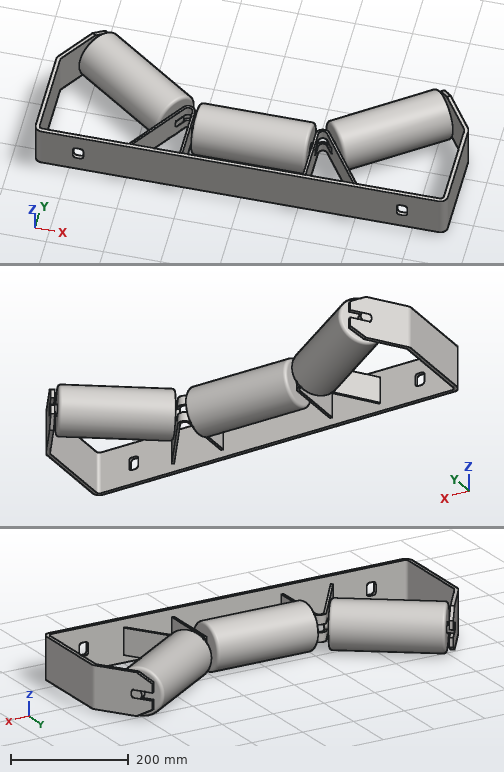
import cadquery as cq
import math


frame_length = 720.0
strip_width = 80.0
frame_thickness = 7.0
frame_bend_radius = 13.0

wing_tip_reach = 29.5
tip_chamfer_length = 29.0
tip_chamfer_depth = 16.0

mount_hole_x = 283.0
mount_hole_width = 18.0
mount_hole_height = 24.5
mount_hole_corner = 6.0

tilt = 35.0
roller_diameter = 89.0
roller_length = 200.0
roller_fillet = 6.0
centre_roller_y = 101.0
side_roller_x = 221.0
side_roller_y = 172.0

plate_gap = 5.4
round_stub_length = 3.0
shaft_diameter = 20.0
shaft_flat_width = 14.5

bracket_width = 50.0
bracket_thickness = 4.0
bracket_bend_radius = 12.0

tilt_angle = math.radians(tilt)
outward = cq.Vector(math.cos(tilt_angle), math.sin(tilt_angle), 0)
along_wing = cq.Vector(-math.sin(tilt_angle), math.cos(tilt_angle), 0)
side_roller_middle = cq.Vector(side_roller_x, side_roller_y, 0)
centre_roller_middle = cq.Vector(0, centre_roller_y, 0)
plate_offset = roller_length / 2 + plate_gap

cut_reach = 2 * frame_thickness
slot_reach = 36.0


def mirrored(body):
    return body.mirror("YZ")


def shaft_slot(axis_point, axis, open_direction):
    """Cutter for an open slot whose closed end fits the flattened shaft."""
    half_width = shaft_flat_width / 2
    radius = shaft_diameter / 2
    arc_end = math.sqrt(radius**2 - half_width**2)
    plane = cq.Plane(
        origin=axis_point.toTuple(), xDir=open_direction.toTuple(), normal=axis.toTuple()
    )
    return (
        cq.Workplane(plane)
        .moveTo(slot_reach, -half_width)
        .lineTo(-arc_end, -half_width)
        .threePointArc((-radius, 0), (-arc_end, half_width))
        .lineTo(slot_reach, half_width)
        .close()
        .extrude(cut_reach, both=True)
    )



wing_face = side_roller_middle + outward * (plate_offset + frame_thickness)
wing_tip = wing_face + along_wing * wing_tip_reach


def bent_strip():
    outer_x = frame_length / 2
    outer_y = wing_face.y - (outer_x - wing_face.x) / math.tan(tilt_angle)
    inner_x = outer_x - frame_thickness
    inner_y = outer_y - frame_thickness * math.tan(tilt_angle / 2)
    inner_tip = wing_tip - outward * frame_thickness

    right_half = [
        (outer_x, 0),
        (outer_x, outer_y),
        (wing_tip.x, wing_tip.y),
        (inner_tip.x, inner_tip.y),
        (inner_x, inner_y),
        (inner_x, frame_thickness),
    ]
    left_half = [(-x, y) for x, y in reversed(right_half)]
    strip = (
        cq.Workplane("XY", origin=(0, 0, -strip_width / 2))
        .polyline(right_half + left_half)
        .close()
        .extrude(strip_width)
    )

    inner_radius = frame_bend_radius - frame_thickness
    bends = [
        (outer_x, 0, frame_bend_radius),
        (outer_x, outer_y, frame_bend_radius),
        (inner_x, frame_thickness, inner_radius),
        (inner_x, inner_y, inner_radius),
    ]
    for x, y, radius in bends:
        for side in (1, -1):
            corner = cq.selectors.NearestToPointSelector((side * x, y, 0))
            strip = strip.edges("|Z").edges(corner).fillet(radius)
    return strip


def tip_chamfer(side):
    """Wedge that cuts the upper (side = 1) or lower (side = -1) corner of a wing tip."""
    edge = side * strip_width / 2
    plane = cq.Plane(
        origin=wing_tip.toTuple(), xDir=along_wing.toTuple(), normal=outward.toTuple()
    )
    return (
        cq.Workplane(plane)
        .polyline([(0, edge), (-tip_chamfer_length, edge), (0, edge - side * tip_chamfer_depth)])
        .close()
        .extrude(cut_reach, both=True)
    )


def mount_holes():
    return (
        cq.Workplane("XZ")
        .pushPoints([(mount_hole_x, 0), (-mount_hole_x, 0)])
        .rect(mount_hole_width, mount_hole_height)
        .extrude(cut_reach, both=True)
        .edges("|Y")
        .fillet(mount_hole_corner)
    )


def make_frame():
    frame = bent_strip().cut(mount_holes())
    wing_cutters = [tip_chamfer(1), tip_chamfer(-1), shaft_slot(wing_face, outward, along_wing)]
    for cutter in wing_cutters:
        frame = frame.cut(cutter).cut(mirrored(cutter))
    return frame




def make_bracket():
    """Right-hand bracket, standing on the back of the frame."""
    inner_radius = bracket_bend_radius - bracket_thickness
    upright_inner_x = plate_offset + bracket_thickness
    tilted_face = side_roller_middle - outward * plate_offset

    bend_x = plate_offset + bracket_bend_radius
    bend_y = (tilted_face.dot(outward) - bracket_bend_radius - bend_x * outward.x) / outward.y
    bend = cq.Vector(bend_x, bend_y, 0)
    middle_angle = (tilt_angle + math.pi) / 2
    to_middle = cq.Vector(math.cos(middle_angle), math.sin(middle_angle), 0)
    outer_middle = bend + to_middle * bracket_bend_radius
    inner_middle = bend + to_middle * inner_radius

    outer_start = bend + outward * bracket_bend_radius
    inner_start = bend + outward * inner_radius
    leg = along_wing * ((inner_start.y - frame_thickness) / along_wing.y)
    outer_end = outer_start - leg
    inner_end = inner_start - leg

    bracket = (
        cq.Workplane("XY", origin=(0, 0, -bracket_width / 2))
        .moveTo(plate_offset, frame_thickness)
        .lineTo(plate_offset, bend_y)
        .threePointArc((outer_middle.x, outer_middle.y), (outer_start.x, outer_start.y))
        .lineTo(outer_end.x, outer_end.y)
        .lineTo(inner_end.x, inner_end.y)
        .lineTo(inner_start.x, inner_start.y)
        .threePointArc((inner_middle.x, inner_middle.y), (upright_inner_x, bend_y))
        .lineTo(upright_inner_x, frame_thickness)
        .close()
        .extrude(bracket_width)
    )

    upright_face = centre_roller_middle + cq.Vector(plate_offset, 0, 0)
    upright_slot = shaft_slot(upright_face, cq.Vector(1, 0, 0), cq.Vector(0, 1, 0))
    tilted_slot = shaft_slot(tilted_face, outward, along_wing)
    return bracket.cut(upright_slot).cut(tilted_slot)




def x_cylinder(diameter, start, end):
    return cq.Workplane("YZ", origin=(start, 0, 0)).circle(diameter / 2).extrude(end - start)


def make_roller(left_plate, right_plate):
    """Roller along X whose shaft ends flush with plates of the given thicknesses."""
    half_length = roller_length / 2
    stub_end = half_length + round_stub_length
    drum = x_cylinder(roller_diameter, -half_length, half_length)
    drum = drum.faces("<X or >X").edges().fillet(roller_fillet)
    stubs = x_cylinder(shaft_diameter, -stub_end, stub_end)
    flats = cq.Workplane("XY").box(frame_length, shaft_diameter, shaft_flat_width)
    shaft = x_cylinder(shaft_diameter, -plate_offset - left_plate, plate_offset + right_plate)
    return drum.union(stubs).union(shaft.intersect(flats))



frame = make_frame()

right_bracket = make_bracket()
brackets = [right_bracket, mirrored(right_bracket)]

centre_roller = make_roller(bracket_thickness, bracket_thickness).translate(centre_roller_middle)
right_roller = (
    make_roller(bracket_thickness, frame_thickness)
    .rotate((0, 0, 0), (0, 0, 1), tilt)
    .translate(side_roller_middle)
)
rollers = [centre_roller, right_roller, mirrored(right_roller)]

bodies = [frame, *brackets, *rollers]
result = cq.Compound.makeCompound([body.val() for body in bodies])